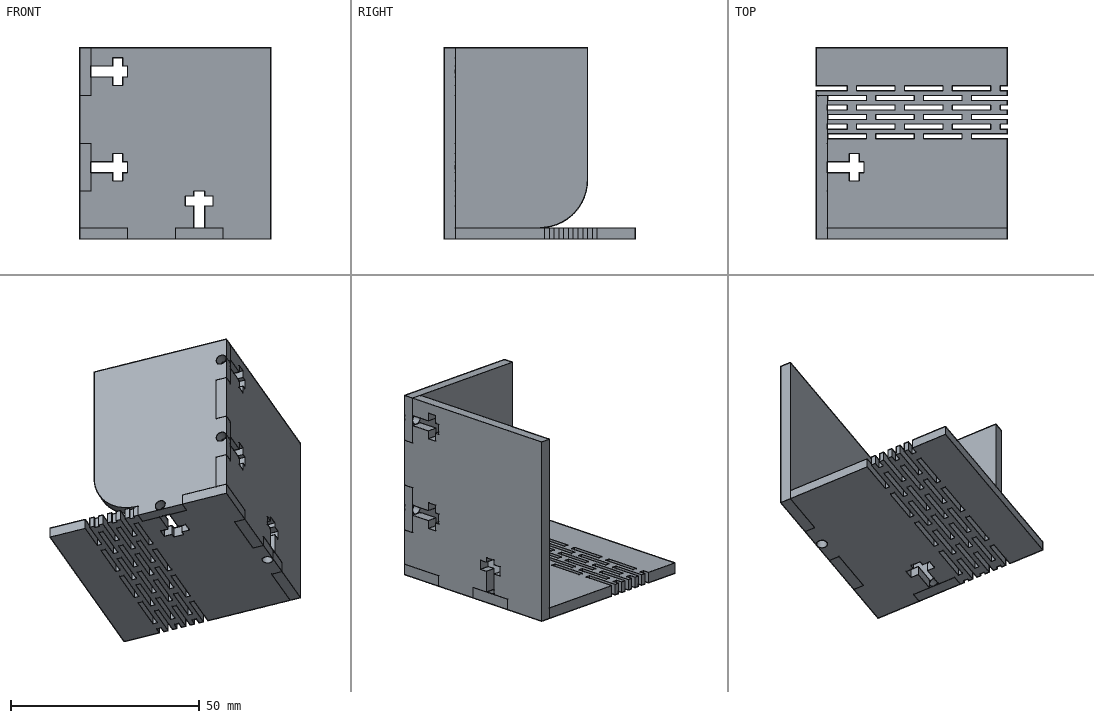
import cadquery as cq

SIZE = 50.8
THICKNESS = 3.0
FINGER = SIZE / 4
SIDE_DEPTH = 3 * FINGER
CORNER_RADIUS = FINGER

FULL = (0, SIZE)
SKIN = (0, THICKNESS)

BOLT_DIAMETER = 2.85
BOLT_REACH = 12.7
NUT_START = 8.85
NUT_THICKNESS = 2.6
NUT_WIDTH = 7.25
FRONT_BOLT_X = 2.5 * FINGER
SIDE_BOLT_Y = 1.5 * FINGER
WALL_BOLT_Z = (1.5 * FINGER, 3.5 * FINGER)

BASE_SLOT_PLANE = cq.Plane((0, 0, 0), xDir=(1, 0, 0), normal=(0, 0, 1))
FRONT_SIDE_SLOT_PLANE = cq.Plane((0, THICKNESS, 0), xDir=(1, 0, 0), normal=(0, -1, 0))
FRONT_FOOT_SLOT_PLANE = cq.Plane((0, 0, 0), xDir=(0, 0, 1), normal=(0, 1, 0))

SLIT_ROWS = 6
SLIT_WIDTH = SIZE / 40
SLIT_ROW_PITCH = 2 * SLIT_WIDTH
SLIT_LENGTH = 10.15
SLIT_PITCH = FINGER
HINGE_START_Y = 26.65
EVEN_ROW_START_X = -3 * SLIT_PITCH / 4
ROW_SHIFT = 7.6
ODD_ROW_START_X = EVEN_ROW_START_X + ROW_SHIFT
SLITS_PER_ROW = 5


def block(x_range, y_range, z_range):
    """Axis-aligned box between the given limits."""
    (x0, x1), (y0, y1), (z0, z1) = x_range, y_range, z_range
    return cq.Workplane("XY").box(x1 - x0, y1 - y0, z1 - z0, centered=False).translate((x0, y0, z0))


def finger_span(index):
    """Start and end of the finger with this index, counted from the corner."""
    return (index * FINGER, (index + 1) * FINGER)


def bolt_cutter(plane, center):
    """Cross-shaped cutter: a bolt slot along local x from the edge, crossed by a nut pocket."""
    slot = (
        cq.Workplane(plane)
        .center(BOLT_REACH / 2, center)
        .rect(BOLT_REACH, BOLT_DIAMETER)
        .extrude(THICKNESS)
    )
    nut_pocket = (
        cq.Workplane(plane)
        .center(NUT_START + NUT_THICKNESS / 2, center)
        .rect(NUT_THICKNESS, NUT_WIDTH)
        .extrude(THICKNESS)
    )
    return slot.union(nut_pocket)


def hinge_slits():
    """All slits of the flexible hinge, every other row shifted along X."""
    slits = cq.Workplane("XY")
    for row in range(SLIT_ROWS):
        y = HINGE_START_Y + row * SLIT_ROW_PITCH
        start_x = EVEN_ROW_START_X if row % 2 == 0 else ODD_ROW_START_X
        for column in range(SLITS_PER_ROW):
            x = start_x + column * SLIT_PITCH
            slits = slits.add(block((x, x + SLIT_LENGTH), (y, y + SLIT_WIDTH), SKIN))
    return slits.combine()


def make_base():
    base = block(FULL, FULL, SKIN)
    for index in (1, 3):
        base = base.cut(block(finger_span(index), SKIN, SKIN))
    base = base.cut(block(SKIN, finger_span(1), SKIN))
    base = base.cut(hinge_slits())
    base = base.cut(bolt_cutter(BASE_SLOT_PLANE, SIDE_BOLT_Y))
    bolt_hole = (
        cq.Workplane("XY")
        .center(FRONT_BOLT_X, THICKNESS / 2)
        .circle(BOLT_DIAMETER / 2)
        .extrude(THICKNESS)
    )
    return base.cut(bolt_hole)


def make_front_wall():
    wall = block(FULL, SKIN, FULL)
    for index in (0, 2):
        wall = wall.cut(block(finger_span(index), SKIN, SKIN))
    for index in (1, 3):
        wall = wall.cut(block(SKIN, SKIN, finger_span(index)))
    for z in WALL_BOLT_Z:
        wall = wall.cut(bolt_cutter(FRONT_SIDE_SLOT_PLANE, z))
    return wall.cut(bolt_cutter(FRONT_FOOT_SLOT_PLANE, FRONT_BOLT_X))


def make_side_wall():
    wall = block(SKIN, (0, SIDE_DEPTH), (THICKNESS, SIZE))
    wall = wall.edges("|X and >Y and <Z").fillet(CORNER_RADIUS)
    for index in (0, 2):
        wall = wall.cut(block(SKIN, SKIN, finger_span(index)))
    wall = wall.union(block(SKIN, finger_span(1), SKIN))
    hole_centers = [(THICKNESS / 2, z) for z in WALL_BOLT_Z] + [(SIDE_BOLT_Y, THICKNESS / 2)]
    holes = (
        cq.Workplane("YZ")
        .pushPoints(hole_centers)
        .circle(BOLT_DIAMETER / 2)
        .extrude(THICKNESS)
    )
    return wall.cut(holes)


base = make_base()
front_wall = make_front_wall()
side_wall = make_side_wall()

bodies = [base, front_wall, side_wall]
result = cq.Compound.makeCompound([body.solids().val() for body in bodies])